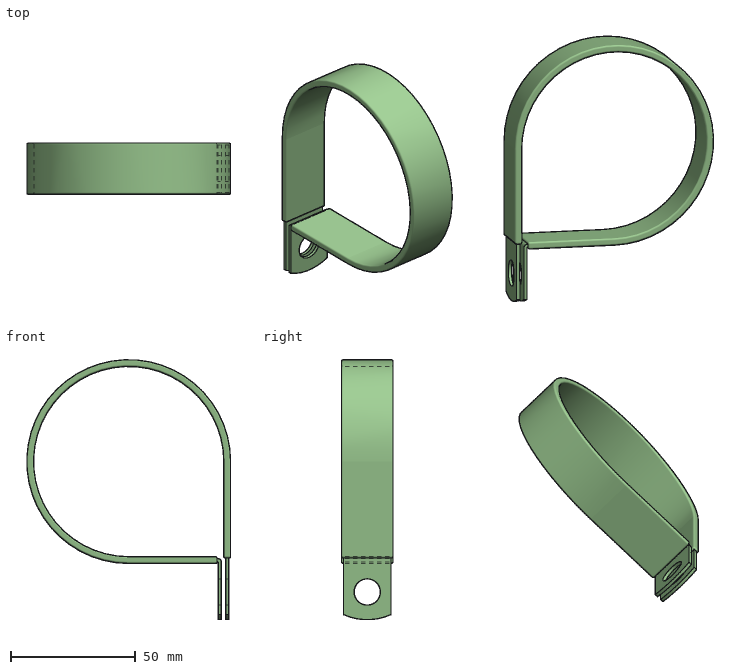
import cadquery as cq
import math

height = 104.4
outer_diameter = 81.8
sleeve_width = 20.7

strap_thickness = 1.4
sleeve_thickness = 2.8
edge_radius = 0.7
strap_width = sleeve_width - 2 * edge_radius

loop_radius = (outer_diameter - sleeve_thickness) / 2
tip_z = outer_diameter / 2 - height

sleeve_leg_end_z = -38.7
sleeve_arm_end_x = 35.5
inner_tab_x = 36.5
bend_radius = 0.89

hole_diameter = 10.4
hole_height = 11.2
tip_rise = 2.1


def band(start_z, end_x, thickness, width):
    """Band from the right leg around the loop to the bottom arm, centred on Y = 0."""
    outer = loop_radius + thickness / 2
    inner = loop_radius - thickness / 2
    diagonal = math.sqrt(0.5)
    return (
        cq.Workplane("XZ")
        .moveTo(outer, start_z)
        .lineTo(outer, 0)
        .threePointArc((-outer * diagonal, outer * diagonal), (0, -outer))
        .lineTo(end_x, -outer)
        .lineTo(end_x, -inner)
        .lineTo(0, -inner)
        .threePointArc((-inner * diagonal, inner * diagonal), (inner, 0))
        .lineTo(inner, start_z)
        .close()
        .extrude(width / 2, both=True)
    )


def make_sleeve():
    """Cushion around the strap, with every outer edge rounded."""
    sleeve = band(sleeve_leg_end_z, sleeve_arm_end_x, sleeve_thickness, sleeve_width)
    leg_end = cq.selectors.NearestToPointSelector((loop_radius, 0, sleeve_leg_end_z))
    arm_end = cq.selectors.NearestToPointSelector((sleeve_arm_end_x, 0, -loop_radius))
    side_edges = sleeve.faces("|Y").edges()
    end_edges = sleeve.faces(leg_end).edges().add(sleeve.faces(arm_end).edges())
    return side_edges.add(end_edges).fillet(edge_radius)


def make_bent_tab():
    """Quarter bend from the bottom arm down into the inner tab."""
    half = strap_thickness / 2
    bend_x = inner_tab_x - bend_radius
    bend_z = -loop_radius - bend_radius
    outer = bend_radius + half
    inner = bend_radius - half
    diagonal = math.sqrt(0.5)
    return (
        cq.Workplane("XZ")
        .moveTo(bend_x, bend_z + outer)
        .threePointArc(
            (bend_x + outer * diagonal, bend_z + outer * diagonal),
            (bend_x + outer, bend_z),
        )
        .lineTo(bend_x + outer, tip_z)
        .lineTo(bend_x + inner, tip_z)
        .lineTo(bend_x + inner, bend_z)
        .threePointArc(
            (bend_x + inner * diagonal, bend_z + inner * diagonal),
            (bend_x, bend_z + inner),
        )
        .close()
        .extrude(strap_width / 2, both=True)
    )


def make_tab_envelope():
    """Full-length strip along X with the rounded tip and bolt hole of the tabs."""
    half_width = strap_width / 2
    half_length = outer_diameter / 2
    return (
        cq.Workplane("YZ")
        .moveTo(-half_width, half_length)
        .lineTo(-half_width, tip_z + tip_rise)
        .threePointArc((0, tip_z), (half_width, tip_z + tip_rise))
        .lineTo(half_width, half_length)
        .close()
        .moveTo(0, tip_z + hole_height)
        .circle(hole_diameter / 2)
        .extrude(half_length, both=True)
    )


def make_strap():
    """Metal strap: loop, straight runs and two matching bolt tabs."""
    bend_start_x = inner_tab_x - bend_radius
    strap = band(tip_z, bend_start_x, strap_thickness, strap_width)
    return strap.union(make_bent_tab()).intersect(make_tab_envelope())


result = make_sleeve().union(make_strap())